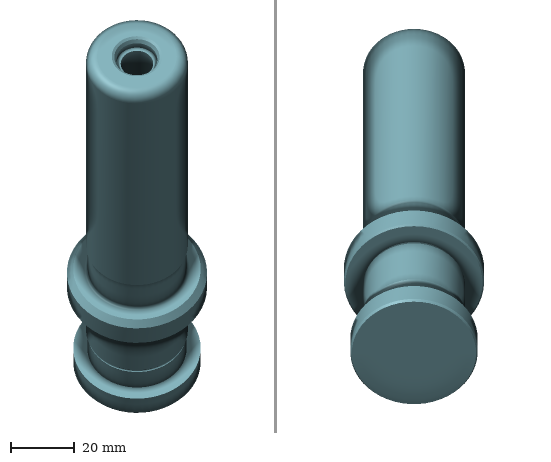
import cadquery as cq
import math

total_height = 159.0
pin_radius = 16.0
neck_radius = 15.5

foot_radius = 20.0
foot_thickness = 8.0
foot_neck_radius = 15.6
foot_height = 16.0
foot_edge_height = 0.8
foot_edge_width = 0.5

spigot_bottom_chamfer_height = 1.5
spigot_bottom_chamfer_width = 1.0
spigot_top_chamfer = pin_radius - neck_radius
collar_bottom = 39.0
undercut_height = 1.0

collar_radius = 22.0
collar_thickness = 10.0
collar_top = collar_bottom + collar_thickness
collar_top_chamfer = 2.0
collar_bottom_chamfer = 0.5

collar_fillet = 1.0
shank_bottom = 61.5
shank_bottom_chamfer = pin_radius - neck_radius
shank_top_fillet = 3.5

rim_radius = 7.9
cone_top_radius = 7.1
cone_top_depth = 0.5
counterbore_radius = 6.4
cone_angle = 60.0
cone_depth = (cone_top_radius - counterbore_radius) / math.tan(math.radians(cone_angle / 2))
cone_bottom_depth = cone_top_depth + cone_depth
counterbore_depth = 3.9
drill_radius = 5.1
drill_depth = 30.0
drill_point_angle = 118.0
drill_point_depth = drill_depth + drill_radius / math.tan(math.radians(drill_point_angle / 2))


def turn(profile):
    """Revolve a profile of (radius, height) points about the Z axis."""
    return profile.close().revolve(360, (0, 0, 0), (0, 1, 0))


def make_foot():
    """Disc with a chamfered bottom rim and a narrower neck that carries the pin."""
    profile = (
        cq.Workplane("XZ")
        .moveTo(0, 0)
        .lineTo(foot_radius - foot_edge_width, 0)
        .lineTo(foot_radius, foot_edge_height)
        .lineTo(foot_radius, foot_thickness)
        .lineTo(foot_neck_radius, foot_thickness)
        .lineTo(foot_neck_radius, foot_height)
        .lineTo(0, foot_height)
    )
    return turn(profile)


def make_centre_hole():
    """Cutter for the countersunk, counterbored blind hole in the top end."""
    profile = (
        cq.Workplane("XZ")
        .moveTo(0, total_height)
        .lineTo(rim_radius, total_height)
        .lineTo(cone_top_radius, total_height - cone_top_depth)
        .lineTo(counterbore_radius, total_height - cone_bottom_depth)
        .lineTo(counterbore_radius, total_height - counterbore_depth)
        .lineTo(drill_radius, total_height - counterbore_depth)
        .lineTo(drill_radius, total_height - drill_depth)
        .lineTo(0, total_height - drill_point_depth)
    )
    return turn(profile)


def make_pin():
    """Guide pin: spigot, undercut, collar, neck and long shank with a rounded top end."""
    undercut_bottom = collar_bottom - undercut_height
    profile = (
        cq.Workplane("XZ")
        .moveTo(0, foot_height)
        .lineTo(pin_radius - spigot_bottom_chamfer_width, foot_height)
        .lineTo(pin_radius, foot_height + spigot_bottom_chamfer_height)
        .lineTo(pin_radius, undercut_bottom - spigot_top_chamfer)
        .lineTo(neck_radius, undercut_bottom)
        .lineTo(neck_radius, collar_bottom)
        .lineTo(collar_radius - collar_bottom_chamfer, collar_bottom)
        .lineTo(collar_radius, collar_bottom + collar_bottom_chamfer)
        .lineTo(collar_radius, collar_top - collar_top_chamfer)
        .lineTo(collar_radius - collar_top_chamfer, collar_top)
        .lineTo(neck_radius + collar_fillet, collar_top)
        .radiusArc((neck_radius, collar_top + collar_fillet), collar_fillet)
        .lineTo(neck_radius, shank_bottom - shank_bottom_chamfer)
        .lineTo(pin_radius, shank_bottom)
        .lineTo(pin_radius, total_height - shank_top_fillet)
        .radiusArc((pin_radius - shank_top_fillet, total_height), -shank_top_fillet)
        .lineTo(0, total_height)
    )
    return turn(profile).cut(make_centre_hole())


foot = make_foot()
pin = make_pin()

result = cq.Compound.makeCompound([foot.val(), pin.val()])